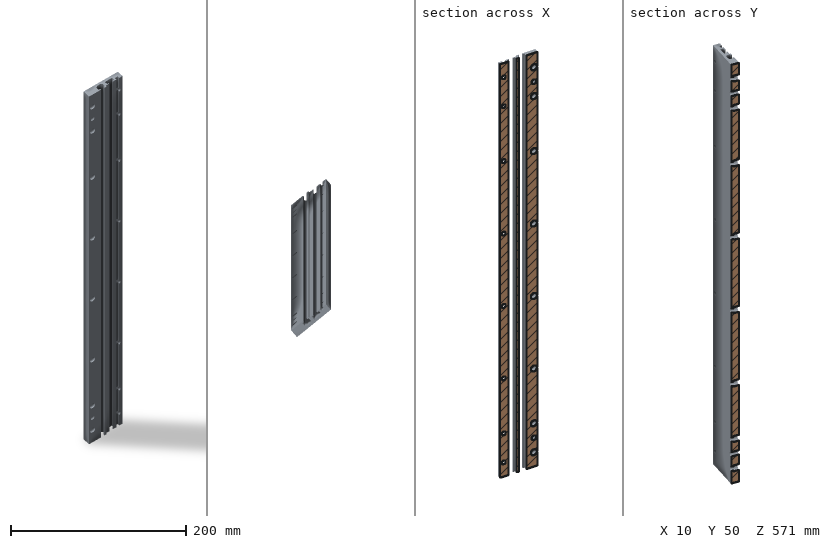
import cadquery as cq

LENGTH = 571
WIDTH = 50.0
THICKNESS = 10.0
THIN_THICKNESS = 8.5
STEP_Y = 25.5

SLOT_MOUTH = 5.0

DEEP_SLOT_Y = 20.0
DEEP_SLOT_WIDTH = 9.0
DEEP_SLOT_LIP = 1.5
DEEP_SLOT_TAPER_X = 4.5
DEEP_SLOT_FLOOR_X = 3.0
DEEP_SLOT_FLOOR_WIDTH = 4.5

T_SLOT_Y = 33.5
T_SLOT_WIDTH = 10.0
T_SLOT_LIP = 1.0
T_SLOT_DEPTH = 5.0

PLAIN_SLOT_Y = 43.5
PLAIN_SLOT_WIDTH = 4.0
PLAIN_SLOT_DEPTH = 3.0

ROW_EDGE_DISTANCE = 5.0
LOWER_ROW_Y = ROW_EDGE_DISTANCE
UPPER_ROW_Y = WIDTH - ROW_EDGE_DISTANCE
LOWER_HOLE_DIAMETER = 5.0
UPPER_HOLE_DIAMETER = 4.5
EXTRA_HOLE_DIAMETER = 5.4

COUNTERBORE_DIAMETER = 7.5
COUNTERBORE_FLOOR_X = 3.5

HOLE_PITCH = 100.0
END_SPACING = 20.0


def strip():
    outline = [
        (0, 0),
        (THICKNESS, 0),
        (THICKNESS, STEP_Y),
        (THIN_THICKNESS, STEP_Y),
        (THIN_THICKNESS, WIDTH),
        (0, WIDTH),
    ]
    return cq.Workplane("XY").polyline(outline).close().extrude(LENGTH)


def symmetric_slot(center_y, half_section):
    """A full-length slot. half_section lists (x, width) from the floor out to the mouth."""
    upper_side = [(x, width / 2) for x, width in half_section]
    lower_side = [(x, -y) for x, y in reversed(upper_side)]
    return (
        cq.Workplane("XY")
        .center(0, center_y)
        .polyline(upper_side + lower_side)
        .close()
        .extrude(LENGTH)
    )


def deep_slot():
    lip_x = THICKNESS - DEEP_SLOT_LIP
    return symmetric_slot(DEEP_SLOT_Y, [
        (DEEP_SLOT_FLOOR_X, DEEP_SLOT_FLOOR_WIDTH),
        (DEEP_SLOT_TAPER_X, DEEP_SLOT_WIDTH),
        (lip_x, DEEP_SLOT_WIDTH),
        (lip_x, SLOT_MOUTH),
        (THICKNESS, SLOT_MOUTH),
    ])


def t_slot():
    lip_x = THIN_THICKNESS - T_SLOT_LIP
    return symmetric_slot(T_SLOT_Y, [
        (THIN_THICKNESS - T_SLOT_DEPTH, T_SLOT_WIDTH),
        (lip_x, T_SLOT_WIDTH),
        (lip_x, SLOT_MOUTH),
        (THIN_THICKNESS, SLOT_MOUTH),
    ])


def plain_slot():
    return symmetric_slot(PLAIN_SLOT_Y, [
        (THIN_THICKNESS - PLAIN_SLOT_DEPTH, PLAIN_SLOT_WIDTH),
        (THIN_THICKNESS, PLAIN_SLOT_WIDTH),
    ])


def hole_row(y, z_positions, diameter, start_x=0):
    """Round holes along X, from start_x out through the +X face."""
    return (
        cq.Workplane("YZ", origin=(start_x, 0, 0))
        .pushPoints([(y, z) for z in z_positions])
        .circle(diameter / 2)
        .extrude(THICKNESS)
    )


def with_mirror(z_positions):
    """The positions and their mirror images about the middle of the length."""
    return z_positions + [LENGTH - z for z in z_positions]


row_positions = with_mirror([
    END_SPACING,
    3 * END_SPACING,
    LENGTH / 2 - 1.5 * HOLE_PITCH,
    LENGTH / 2 - 0.5 * HOLE_PITCH,
])
extra_positions = with_mirror([2 * END_SPACING])

result = (
    strip()
    .cut(deep_slot())
    .cut(t_slot())
    .cut(plain_slot())
    .cut(hole_row(LOWER_ROW_Y, row_positions, LOWER_HOLE_DIAMETER))
    .cut(hole_row(LOWER_ROW_Y, row_positions, COUNTERBORE_DIAMETER, COUNTERBORE_FLOOR_X))
    .cut(hole_row(LOWER_ROW_Y, extra_positions, EXTRA_HOLE_DIAMETER))
    .cut(hole_row(UPPER_ROW_Y, row_positions, UPPER_HOLE_DIAMETER))
)